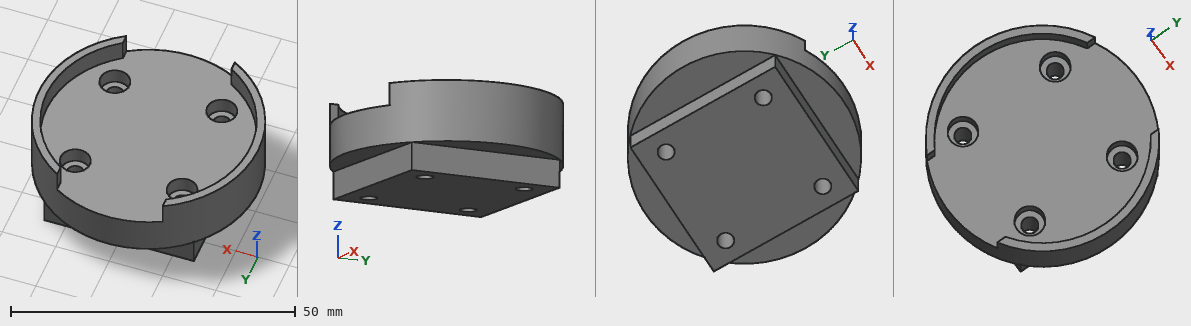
import cadquery as cq

outer_diameter = 41.0
inner_diameter = 38.0
block_length_x = 28.0
block_width_y = 29.75
block_height = 5.0
disk_height = 7.0
rim_height = 3.98
notch_width = 20.0
notch_offset_x = 0.6
hole_spacing = 20.0
hole_diameter = 3.0
counterbore_diameter = 5.4
counterbore_depth = 3.0

floor_level = block_height + disk_height


def make_body():
    """Rectangular block carrying a round disk."""
    block = cq.Workplane("XY").rect(block_length_x, block_width_y).extrude(block_height)
    disk = (
        cq.Workplane("XY", origin=(0, 0, block_height))
        .circle(outer_diameter / 2)
        .extrude(disk_height)
    )
    return block.union(disk)


def make_rim():
    """Thin ring split into two arcs by a notch running along Y, slightly off centre toward +X."""
    floor = cq.Workplane("XY", origin=(0, 0, floor_level))
    ring = floor.circle(outer_diameter / 2).circle(inner_diameter / 2).extrude(rim_height)
    notch = floor.center(notch_offset_x, 0).rect(notch_width, outer_diameter).extrude(rim_height)
    return ring.cut(notch)


def cut_screw_holes(body):
    """Four through holes in a square, counterbored from the disk floor."""
    return (
        body.copyWorkplane(cq.Workplane("XY", origin=(0, 0, floor_level)))
        .rect(hole_spacing, hole_spacing, forConstruction=True)
        .vertices()
        .cboreHole(hole_diameter, counterbore_diameter, counterbore_depth)
    )


result = cut_screw_holes(make_body()).union(make_rim())